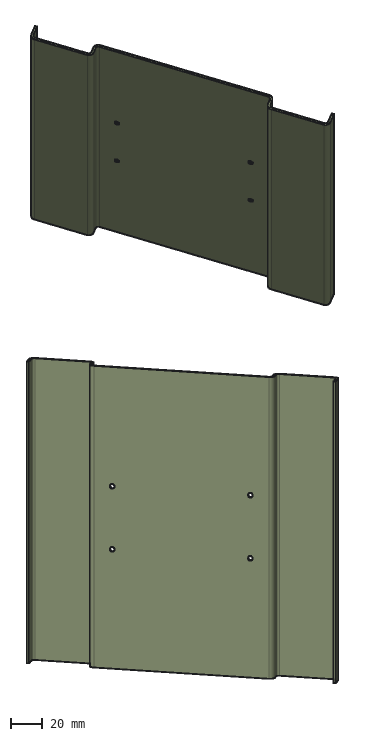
import cadquery as cq

panel_width = 199.0
panel_depth = 10.0
panel_height = 196.0

sheet = 1.5
inner_radius = 1.75
outer_radius = inner_radius + sheet

channel_width = 41.5

hole_diameter = 3.0
hole_spacing_x = 89.0
hole_spacing_z = 41.0

half_width = panel_width / 2
front = -panel_depth / 2
back = panel_depth / 2
web_face = half_width - channel_width


def half_profile():
    """Right half of the folded sheet: centre plate, web, channel floor and outer flange."""
    web_back = web_face + sheet
    flange_inside = half_width - sheet
    floor_back = front + sheet
    plate_front = back - sheet
    return (
        cq.Workplane("XY")
        .workplane(offset=-panel_height / 2)
        .moveTo(0, plate_front)
        .lineTo(web_face - inner_radius, plate_front)
        .radiusArc((web_face, plate_front - inner_radius), inner_radius)
        .lineTo(web_face, front + outer_radius)
        .radiusArc((web_face + outer_radius, front), -outer_radius)
        .lineTo(half_width - outer_radius, front)
        .radiusArc((half_width, front + outer_radius), -outer_radius)
        .lineTo(half_width, back)
        .lineTo(flange_inside, back)
        .lineTo(flange_inside, floor_back + inner_radius)
        .radiusArc((flange_inside - inner_radius, floor_back), inner_radius)
        .lineTo(web_back + inner_radius, floor_back)
        .radiusArc((web_back, floor_back + inner_radius), inner_radius)
        .lineTo(web_back, back - outer_radius)
        .radiusArc((web_back - outer_radius, back), -outer_radius)
        .lineTo(0, back)
        .close()
    )


def folded_sheet():
    """Both mirrored halves joined into one panel."""
    right_half = half_profile().extrude(panel_height)
    return right_half.union(right_half.mirror("YZ")).clean()


def screw_holes():
    """Four pins through the whole depth, in a rectangle about the panel centre."""
    return (
        cq.Workplane("XZ")
        .workplane(offset=-panel_depth)
        .rarray(hole_spacing_x, hole_spacing_z, 2, 2)
        .circle(hole_diameter / 2)
        .extrude(2 * panel_depth)
    )


result = folded_sheet().cut(screw_holes())